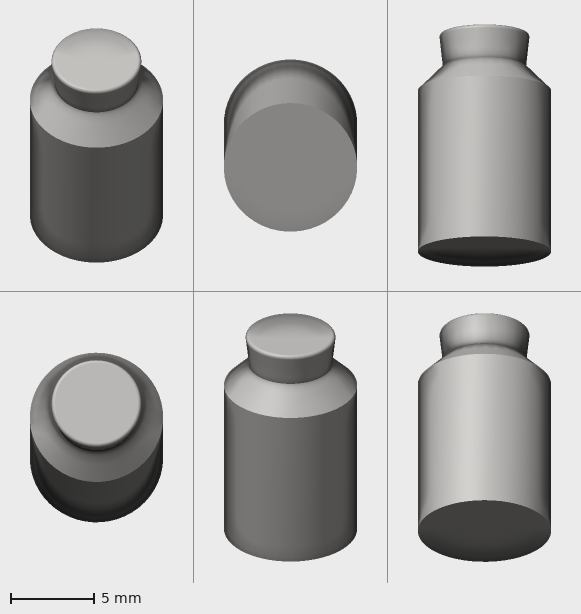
import cadquery as cq

total_height = 13.4
body_diameter = 8.0

neck_height = 2.0
neck_base_diameter = 5.0
rim_diameter = 5.44
rim_fillet = 0.2

body_radius = body_diameter / 2
neck_base_radius = neck_base_diameter / 2
shoulder_height = body_radius - neck_base_radius
neck_base_z = total_height - neck_height
body_top_z = neck_base_z - shoulder_height

half_profile = (
    cq.Workplane("XZ")
    .moveTo(0, 0)
    .lineTo(body_radius, 0)
    .lineTo(body_radius, body_top_z)
    .lineTo(neck_base_radius, neck_base_z)
    .lineTo(rim_diameter / 2, total_height)
    .lineTo(0, total_height)
    .close()
)
bottle = half_profile.revolve(360, (0, 0, 0), (0, 1, 0))

result = bottle.faces(">Z").edges().fillet(rim_fillet)